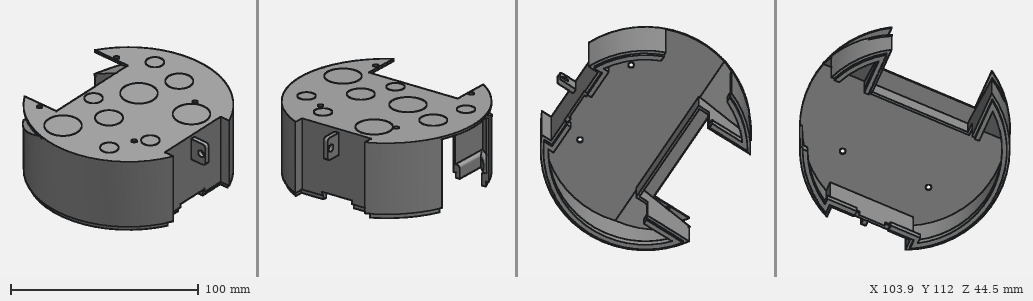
import cadquery as cq
import math

outer_radius = 56.0
height = 44.5
wall = 1.3
roof_thickness = 1.5
roof_underside = height - roof_thickness

notch_y_max = 28.7
notch_y_min = -29.9
panel_x = -15.7
roof_notch_x = -25.0

rear_notch_x = 45.1
rear_notch_half_width = 22.8
side_opening_half_width = 20.9

window_x = -21.0
window_top = 27.1
window_corner_radius = 1.5

slope_angle = 25.0
deck_thickness = 1.5
hinge_x = -15.3
slope_sine = math.sin(math.radians(slope_angle))
slope_cosine = math.cos(math.radians(slope_angle))
slope_tangent = slope_sine / slope_cosine

rim_projection = 3.0
rim_top = 7.8
rim_clearance = 1.6
rim_outer_thickness = 0.9
rim_inner_thickness = 1.7
rim_shoulder = rim_clearance + rim_outer_thickness
rim_inner_inset = rim_shoulder + rim_inner_thickness
rim_gap_width = 19.8
rim_slot_width = 14.9
rim_gap_height = 5.0

lug_end_x = 55.2
lug_thickness = 2.7
lug_bottom = 29.3
lug_top = 42.3
lug_corner_radius = 2.0
lug_hole_diameter = 4.0
lug_hole_x = 52.1

screw_diameter = 3.0
front_screw_x = -34.6
rear_screw_x = 25.4
rear_screw_y = 25.0
screw_centers = [
    (front_screw_x, 30.6),
    (front_screw_x, -32.4),
    (rear_screw_x, rear_screw_y),
    (rear_screw_x, -rear_screw_y),
]
recess_depth = 0.2
recesses = {
    10.0: [(-16.2, 40.5), (-18.1, -7.4), (31.6, -18.9), (19.6, -38.5)],
    15.0: [(5.7, 34.9), (0.6, -16.6)],
    20.0: [(-2.9, 12.0), (31.6, 14.8), (-13.1, -38.3)],
}

beyond = 2 * outer_radius


def block(x_range, y_range, z_range):
    """Axis-aligned box between the given limits."""
    lows, highs = zip(x_range, y_range, z_range)
    sizes = [high - low for low, high in zip(lows, highs)]
    return cq.Workplane("XY").box(*sizes, centered=False).translate(lows)


def notched_disc(inset, bottom, top, front_x):
    """Disc with both notches, with its outline moved inwards by inset."""
    z_range = (bottom, top)
    rear_y = rear_notch_half_width + inset
    disc = cq.Workplane("XY").workplane(offset=bottom).circle(outer_radius - inset).extrude(top - bottom)
    disc = disc.cut(block((-beyond, front_x + inset), (notch_y_min - inset, notch_y_max + inset), z_range))
    return disc.cut(block((rear_notch_x - inset, beyond), (-rear_y, rear_y), z_range))


def wall_disc(inset, bottom, top):
    """Outline shared by the walls and the rim, moved inwards by inset."""
    return notched_disc(inset, bottom, top, panel_x)


def make_walls():
    walls = wall_disc(0, rim_projection, roof_underside).cut(wall_disc(wall, rim_projection, roof_underside))
    cut_x = hinge_x + deck_thickness * slope_sine
    cut_z = height - deck_thickness * slope_cosine
    above_decks = (
        cq.Workplane("XZ")
        .moveTo(cut_x, cut_z)
        .lineTo(cut_x - beyond, cut_z - beyond * slope_tangent)
        .lineTo(cut_x - beyond, cut_z)
        .close()
        .extrude(beyond, both=True)
    )
    front_panel = block((panel_x, panel_x + wall), (notch_y_min - wall, notch_y_max + wall),
                        (window_top, roof_underside))
    return walls.cut(above_decks).union(front_panel)


def make_decks():
    """Sloped plate under the roof; its lower face ends flush with the round wall."""
    deck_plane = cq.Plane(
        origin=(hinge_x, 0, height),
        xDir=(slope_cosine, 0, slope_sine),
        normal=(-slope_sine, 0, slope_cosine),
    )
    center_shift = -(hinge_x + deck_thickness * slope_sine) / slope_cosine
    decks = (
        cq.Workplane(deck_plane)
        .center(center_shift, 0)
        .ellipse(outer_radius / slope_cosine, outer_radius)
        .extrude(-deck_thickness)
    )
    below_hinge = cq.Workplane(deck_plane).center(-beyond / 2, 0).rect(beyond, 2 * beyond).extrude(-beyond)
    front_notch = block((-beyond, panel_x), (notch_y_min, notch_y_max), (0, height))
    return decks.intersect(below_hinge).cut(front_notch)


def make_roof():
    roof = notched_disc(0, roof_underside, height, roof_notch_x)
    underside = cq.Workplane("XY").workplane(offset=roof_underside)
    screw_holes = underside.pushPoints(screw_centers).circle(screw_diameter / 2).extrude(roof_thickness)
    return roof.cut(screw_holes)


def make_recesses(diameter, centers):
    top_face = cq.Workplane("XY").workplane(offset=height)
    return top_face.pushPoints(centers).circle(diameter / 2).extrude(-recess_depth)


def rear_block(width, end_x, top):
    """Block centred on the X axis, running from the middle of the part to end_x."""
    return block((0, end_x), (-width / 2, width / 2), (0, top))


def make_rim():
    rim = wall_disc(wall, rim_projection, rim_top).union(wall_disc(rim_clearance, 0, rim_projection))
    cavity = wall_disc(rim_inner_inset, 0, rim_top)
    rim = rim.cut(cavity)
    top_ring = rim.faces(">Z").val()
    inner_edges = top_ring.innerWires()[0].Edges()
    rim = rim.newObject(inner_edges).fillet(rim_inner_thickness)
    rear_shoulder_x = rear_notch_x - rim_shoulder
    rim = rim.cut(rear_block(rim_gap_width, rear_shoulder_x, rim_top))
    return rim.cut(rear_block(rim_slot_width, rear_notch_x, rim_top))


def make_lug():
    half_thickness = lug_thickness / 2
    lug = block((rear_notch_x - wall, lug_end_x), (-half_thickness, half_thickness), (lug_bottom, lug_top))
    lug = lug.edges("|Y and >X").fillet(lug_corner_radius)
    hole = (
        cq.Workplane("XZ").center(lug_hole_x, (lug_bottom + lug_top) / 2)
        .circle(lug_hole_diameter / 2).extrude(lug_thickness, both=True)
    )
    return lug.cut(hole)


def make_window():
    """Cut that opens the front panel and trims the adjoining notch walls and rim."""
    reach = rim_inner_inset
    window = block((window_x, panel_x + reach), (notch_y_min - reach, notch_y_max + reach),
                   (-window_top, window_top))
    return window.edges("|Y and >Z and <X").fillet(window_corner_radius)


def make_side_opening():
    """Cut that opens the round +Y wall and its rim up to the roof."""
    half_width = side_opening_half_width
    return block((-half_width, half_width), (notch_y_max + rim_inner_inset, beyond), (0, roof_underside))


rear_gap = rear_block(rim_gap_width, beyond, rim_gap_height)
result = make_walls().union(make_rim()).cut(make_window()).cut(make_side_opening()).cut(rear_gap)
result = result.union(make_decks()).union(make_roof()).union(make_lug())
for diameter, centers in recesses.items():
    result = result.cut(make_recesses(diameter, centers))